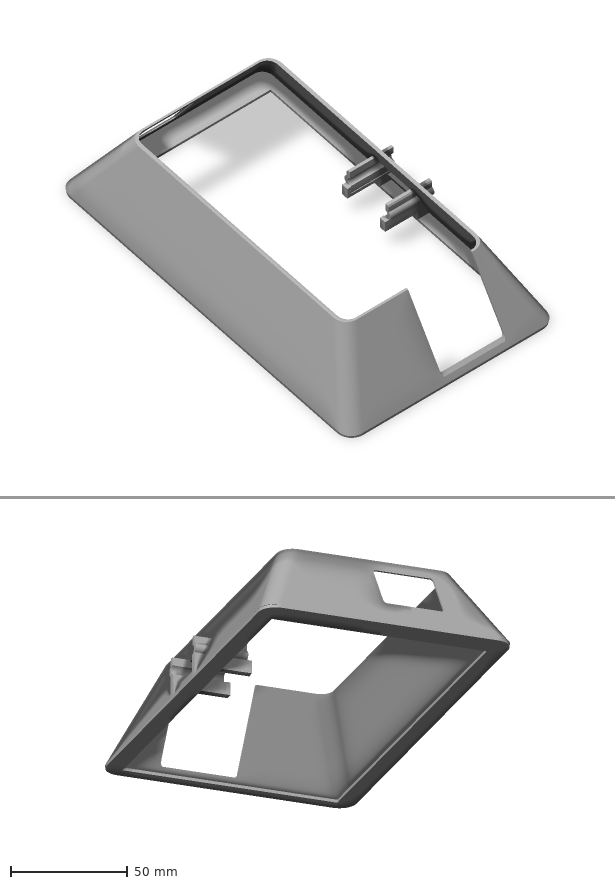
import cadquery as cq
length = 197.0
width = 115.0
height = 40.0

plate_height = 1.4
plate_corner_radius = 7.9
opening_x_min = -85.5
opening_x_max = 92.5
opening_y_edge = 49.5

shell_height = height - plate_height
end_inset = 25.2
side_inset = 18.0
end_wall = 1.2
side_wall = 2.0
outer_edge_radius = 8.5
inner_edge_radius = 6.7

window_y_min = -28.0
window_y_max = -0.2
window_z_min = 13.0
window_z_max = 33.7
window_corner_radius = 1.5
window_cut_depth = 49.2

notch_y_min = -4.1
notch_y_max = 31.3
notch_sill_inset = 1.8
notch_corner_radius = 1.2
notch_cut_reach = 39.4

port_z_min = 6.1

arm_inner_x = 11.0
arm_outer_x = 14.5
arm_bottom_z = 5.5
arm_top_z = 19.5
rail_inner_x = 11.5
web_inner_x = 12.0
web_outer_x = 14.2
lip_top_z = 7.3
rail_top_z = 11.5
bead_top_z = 15.8
bead_bulge = 1.5
top_chamfer_width = 0.5
top_chamfer_height = 0.8
rail_front_y = 31.1
web_front_y = 33.3
arm_rear_y = width / 2
port_z_max = arm_top_z - top_chamfer_height


def leaning_prism(plane, span, inset, depth):
    """Trapezoid rising from the plate and extruded evenly to both sides of its plane."""
    return (
        cq.Workplane(plane)
        .moveTo(-span / 2, plate_height)
        .lineTo(span / 2, plate_height)
        .lineTo(span / 2 - inset, height)
        .lineTo(inset - span / 2, height)
        .close()
        .extrude(depth / 2, both=True)
    )


def tapered_block(x_size, y_size, edge_radius):
    """Block whose walls lean in by the end and side insets, with rounded slanted edges."""
    ends = leaning_prism("XZ", x_size, end_inset, y_size)
    sides = leaning_prism("YZ", y_size, side_inset, x_size)
    return ends.intersect(sides).edges("not(|X or |Y)").fillet(edge_radius)


def block(x_range, y_range, z_range):
    """Axis-aligned box between pairs of limits."""
    spans = [high - low for low, high in (x_range, y_range, z_range)]
    return cq.Workplane("XY").box(*spans, centered=False).translate((x_range[0], y_range[0], z_range[0]))


def make_plate():
    """Flat frame that carries the shell."""
    outline = (
        cq.Workplane("XY").rect(length, width).extrude(plate_height).edges("|Z").fillet(plate_corner_radius)
    )
    opening = block(
        (opening_x_min, opening_x_max), (-opening_y_edge, opening_y_edge), (0, plate_height)
    )
    return outline.cut(opening)


def window_cutter():
    """Straight passage through the -X wall with rounded corners."""
    return block(
        (-length / 2, window_cut_depth - length / 2), (window_y_min, window_y_max), (window_z_min, window_z_max)
    ).edges("|X").fillet(window_corner_radius)


def notch_cutter():
    """Wedge open above the shell, its sloping floor rounded along both sides."""
    lean = end_inset / shell_height
    sill_x = length / 2 - notch_sill_inset
    sill_z = plate_height + notch_sill_inset / lean
    rise = notch_cut_reach * lean
    return (
        cq.Workplane("XZ", origin=(0, notch_y_max, 0))
        .moveTo(sill_x + notch_cut_reach, sill_z - rise)
        .lineTo(sill_x - notch_cut_reach, sill_z + rise)
        .lineTo(sill_x - notch_cut_reach, 2 * height)
        .lineTo(sill_x + notch_cut_reach, 2 * height)
        .close()
        .extrude(notch_y_max - notch_y_min)
        .edges("not(|Y or |Z or |X)")
        .fillet(notch_corner_radius)
    )


def web_profile():
    """Web of the +X arm, bent outward into a bead above the rail, with a chamfered top edge."""
    bead_middle_z = (rail_top_z + bead_top_z) / 2
    return (
        cq.Workplane("XZ", origin=(0, arm_rear_y, 0))
        .moveTo(web_inner_x, rail_top_z)
        .lineTo(web_outer_x, rail_top_z)
        .threePointArc((web_outer_x + bead_bulge, bead_middle_z), (web_outer_x, bead_top_z))
        .lineTo(web_outer_x, arm_top_z - top_chamfer_height)
        .lineTo(web_outer_x - top_chamfer_width, arm_top_z)
        .lineTo(web_inner_x, arm_top_z)
        .lineTo(web_inner_x, bead_top_z)
        .threePointArc((web_inner_x + bead_bulge, bead_middle_z), (web_inner_x, rail_top_z))
        .close()
    )


def make_arm(side):
    """Clip arm on the +X (side = 1) or -X (side = -1) side of the port."""
    web = web_profile().extrude(arm_rear_y - web_front_y)
    rail = block((rail_inner_x, arm_outer_x), (web_front_y, arm_rear_y), (arm_bottom_z, rail_top_z))
    lip = block((arm_inner_x, arm_outer_x), (web_front_y, arm_rear_y), (arm_bottom_z, lip_top_z))
    nose = block((arm_inner_x, arm_outer_x), (rail_front_y, web_front_y), (arm_bottom_z, rail_top_z))
    foot = block((arm_inner_x, arm_outer_x), (opening_y_edge, arm_rear_y), (plate_height, lip_top_z))
    arm = web.union(rail).union(lip).union(nose).union(foot)
    return arm if side > 0 else arm.mirror("YZ")


def make_shell(arms):
    """Hollow shell with its window, notch and port, and with passages shaped to the arms."""
    outside = tapered_block(length, width, outer_edge_radius)
    cavity = tapered_block(length - 2 * end_wall, width - 2 * side_wall, inner_edge_radius)
    shell = outside.cut(cavity).cut(window_cutter()).cut(notch_cutter())
    shell = shell.cut(block((-web_outer_x, web_outer_x), (0, width), (port_z_min, port_z_max)))
    passage_zone = block((-length, length), (0, width), (arm_bottom_z, height))
    for arm in arms:
        shell = shell.cut(arm.intersect(passage_zone))
    return shell


plate = make_plate()
full_arms = [make_arm(side) for side in (-1, 1)]
shell = make_shell(full_arms)
arms = [arm.cut(shell) for arm in full_arms]

result = cq.Compound.makeCompound([plate.val(), shell.val(), *[arm.val() for arm in arms]])